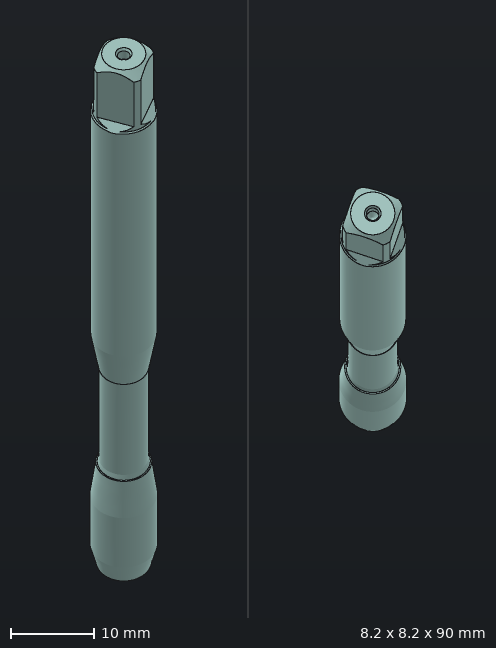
import cadquery as cq

shank_diameter = 8.0
drive_corner_diameter = 7.65
drive_top_diameter = 5.3
neck_diameter = 6.0
neck_foot_diameter = 6.4
neck_flare_diameter = 6.2
head_diameter = 8.2
head_top_diameter = 6.75
tip_diameter = 6.75
tip_cone_diameter = 5.85
center_hole_diameter = 1.5
center_hole_mouth_diameter = 2.0

tip_cone_height = 0.2
tip_chamfer_top = 0.45
lead_top = 3.6
head_shoulder = 12.3
head_top = 18.1
neck_foot_top = 18.8
neck_top = 34.8
neck_flare_top = 35.1
shank_taper_top = 40.8
shank_top = 80.1
total_length = 90.0

across_flats = 6.0
flat_bottom = 81.0
center_hole_depth = 1.8
countersink_depth = 0.4
center_hole_cone_depth = center_hole_diameter / 2


def turned(profile):
    """Revolve a closed (radius, height) outline about the Z axis."""
    return cq.Workplane("XZ").polyline(profile).close().revolve(360, (0, 0), (0, 1))


def drive_flat_cutter():
    """Material outside the +X flat, ending below in a 45 degree sloped run-out."""
    flat = across_flats / 2
    reach = shank_diameter
    runout_drop = reach - flat
    return (
        cq.Workplane("XZ")
        .polyline([
            (flat, flat_bottom),
            (reach, flat_bottom - runout_drop),
            (reach, total_length),
            (flat, total_length),
        ])
        .close()
        .extrude(shank_diameter, both=True)
    )


def center_hole():
    """Blind center hole in the drive end, with a countersunk mouth and a conical bottom."""
    radius = center_hole_diameter / 2
    hole_floor = total_length - center_hole_depth
    return turned([
        (0, total_length),
        (center_hole_mouth_diameter / 2, total_length),
        (radius, total_length - countersink_depth),
        (radius, hole_floor),
        (0, hole_floor - center_hole_cone_depth),
    ])


def make_shank():
    """Neck, tapered shoulder, shank and square drive."""
    corner_radius = drive_corner_diameter / 2
    shank_radius = shank_diameter / 2
    drive_top_radius = drive_top_diameter / 2
    shank_edge = shank_radius - corner_radius
    drive_chamfer = corner_radius - drive_top_radius
    body = turned([
        (0, head_top),
        (neck_foot_diameter / 2, head_top),
        (neck_diameter / 2, neck_foot_top),
        (neck_diameter / 2, neck_top),
        (neck_flare_diameter / 2, neck_flare_top),
        (shank_radius, shank_taper_top),
        (shank_radius, shank_top),
        (corner_radius, shank_top + shank_edge),
        (corner_radius, total_length - drive_chamfer),
        (drive_top_radius, total_length),
        (0, total_length),
    ])
    for angle in (0, 90, 180, 270):
        body = body.cut(drive_flat_cutter().rotate((0, 0, 0), (0, 0, 1), angle))
    return body.cut(center_hole())


def make_head():
    """Working head with a shallow conical tip, a tapered lead, a cylindrical land and a tapered top."""
    return turned([
        (0, 0),
        (tip_cone_diameter / 2, tip_cone_height),
        (tip_diameter / 2, tip_chamfer_top),
        (head_diameter / 2, lead_top),
        (head_diameter / 2, head_shoulder),
        (head_top_diameter / 2, head_top),
        (0, head_top),
    ])


shank = make_shank()
head = make_head()

result = cq.Compound.makeCompound([shank.val(), head.val()])